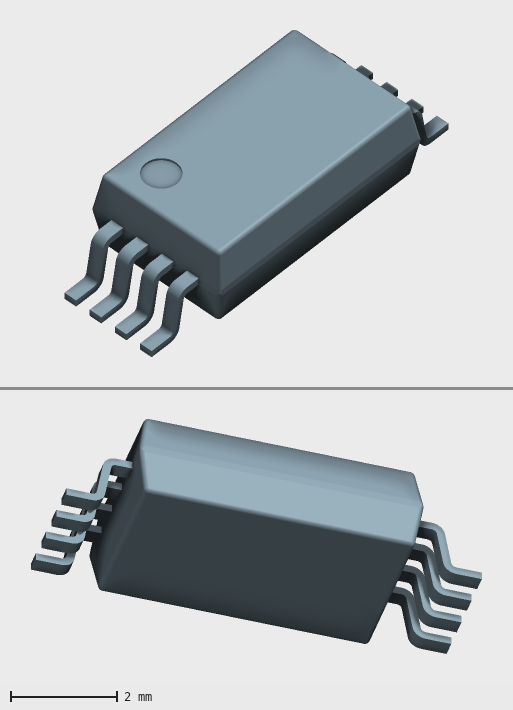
import cadquery as cq
import math

body_width = 3.3
body_length = 5.6
body_bottom = 0.15
body_top = 2.0
draft_angle = 9.0
edge_radius = 0.1

lead_thickness = 0.165
lead_width = 0.3
lead_pitch = 0.65
leads_per_side = 4
span_over_leads = 8.2
shoulder_length = 0.315
bend_inner_radius = 0.1
shank_lean = 10.0

mark_diameter = 0.8
mark_depth = 0.05
mark_inset = 0.935

band_middle = (body_bottom + body_top) / 2
half_band = lead_thickness / 2


def drafted_block(height_above_band):
    """Rounded block, centred on the band, whose sides are body-sized at the band top and lean inward."""
    widening = 2 * lead_thickness * math.tan(math.radians(draft_angle))
    return (
        cq.Workplane("XY")
        .workplane(offset=-half_band)
        .rect(body_width + widening, body_length + widening)
        .extrude(lead_thickness + height_above_band, taper=draft_angle)
        .edges("not <Z")
        .fillet(edge_radius)
    )


def make_body():
    """Package whose mirrored drafted halves meet in an upright band, with a round pin 1 recess on top."""
    height_above_band = body_top - band_middle - half_band
    band_block = cq.Workplane("XY").rect(body_width, body_length).extrude(half_band + height_above_band)
    upper_half = drafted_block(height_above_band).intersect(band_block)
    lower_half = upper_half.mirror("XY")
    body = upper_half.union(lower_half, clean=True).translate((0, 0, band_middle))

    mark = (
        cq.Workplane("XY")
        .workplane(offset=body_top - mark_depth)
        .center(mark_inset - body_width / 2, mark_inset - body_length / 2)
        .circle(mark_diameter / 2)
        .extrude(mark_depth)
    )
    return body.cut(mark)


def make_lead():
    """Lead on the -Y side, centred on X = 0, following the middle of its thickness."""
    bend_radius = bend_inner_radius + lead_thickness / 2
    lean = math.radians(shank_lean)
    bend_reach = bend_radius * math.cos(lean)
    bend_drop = bend_radius * (1 - math.sin(lean))

    start_y = -body_length / 2
    foot_z = lead_thickness / 2
    shoulder_y = start_y - shoulder_length
    shank_drop = band_middle - foot_z - 2 * bend_drop
    shank_top = (shoulder_y - bend_reach, band_middle - bend_drop)
    shank_bottom = (shank_top[0] - shank_drop * math.tan(lean), foot_z + bend_drop)

    path = (
        cq.Workplane("YZ")
        .moveTo(start_y, band_middle)
        .lineTo(shoulder_y, band_middle)
        .tangentArcPoint(shank_top, relative=False)
        .lineTo(*shank_bottom)
        .tangentArcPoint((shank_bottom[0] - bend_reach, foot_z), relative=False)
        .lineTo(-span_over_leads / 2, foot_z)
    )
    return (
        cq.Workplane("XZ", origin=(0, start_y, band_middle))
        .rect(lead_width, lead_thickness)
        .sweep(path)
    )


body = make_body()

front_lead = make_lead()
rear_lead = front_lead.mirror("XZ")
leads = []
for index in range(leads_per_side):
    lead_x = (index - (leads_per_side - 1) / 2) * lead_pitch
    leads.append(front_lead.translate((lead_x, 0, 0)).val())
    leads.append(rear_lead.translate((lead_x, 0, 0)).val())

result = cq.Compound.makeCompound([body.val(), *leads])